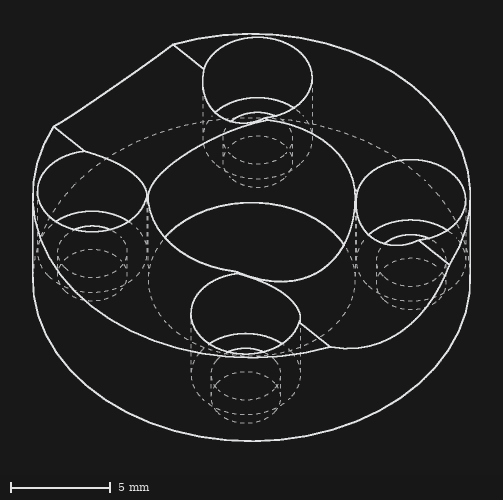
import cadquery as cq

outer_diameter = 22
height = 6.25
bore_diameter = 10.4

screw_spacing = 11.32
screw_hole_diameter = 3.5
counterbore_diameter = 5.5
counterbore_depth = 4.5

groove_width = 8.18
groove_depth = 1.32
groove_radius = ((groove_width / 2) ** 2 + groove_depth**2) / (2 * groove_depth)


def make_ring():
    outer = cq.Workplane("XY").circle(outer_diameter / 2).extrude(height)
    bore = cq.Workplane("XY").circle(bore_diameter / 2).extrude(height)
    return outer.cut(bore)


def drill_screw_holes(body):
    return (
        body.faces(">Z")
        .workplane(origin=(0, 0, height))
        .rect(screw_spacing, screw_spacing, forConstruction=True)
        .vertices()
        .cboreHole(screw_hole_diameter, counterbore_diameter, counterbore_depth)
    )


def make_groove_cutter():
    axis_height = height - groove_depth + groove_radius
    return (
        cq.Workplane("YZ")
        .center(0, axis_height)
        .circle(groove_radius)
        .extrude(outer_diameter / 2, both=True)
    )


result = drill_screw_holes(make_ring()).cut(make_groove_cutter())